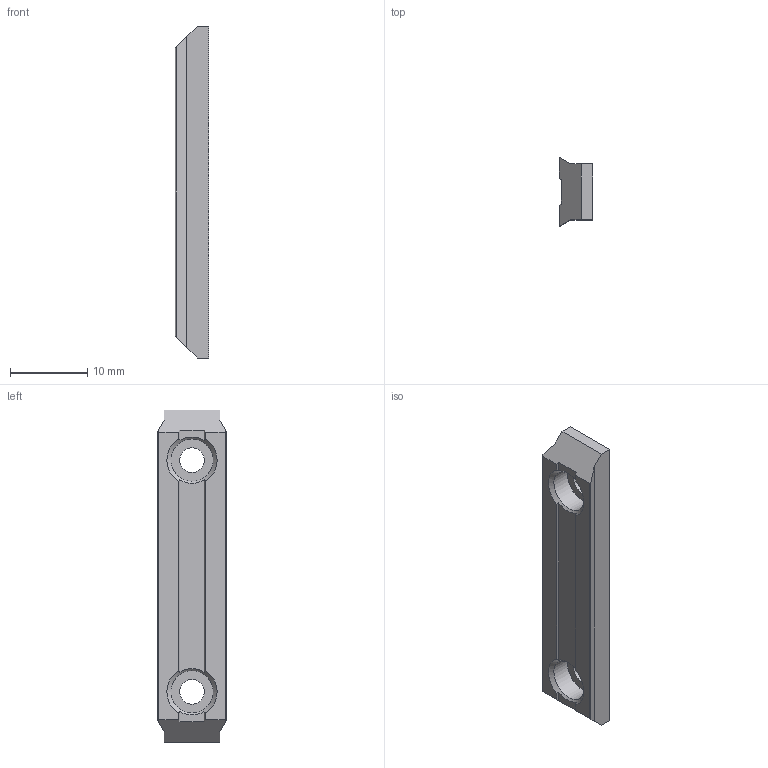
import cadquery as cq
import math

length = 43.0
thickness = 4.35
body_width = 7.22
end_chamfer = 2.85

overall_width = 8.81
flank_angle = math.radians(30)
tip_radius = 0.1
corner_angle = math.pi / 2 - flank_angle
tip_trim = tip_radius / math.tan(corner_angle / 2) - tip_radius
sharp_half_width = overall_width / 2 + tip_trim
flank_depth = (sharp_half_width - body_width / 2) / math.tan(flank_angle)

groove_depth = 0.25
groove_mouth_width = 3.5
groove_floor_width = 3.2

hole_spacing = 30.0
hole_diameter = 3.2
counterbore_diameter = 5.5
counterbore_depth = 3.0
mouth_diameter = 6.5
mouth_depth = (mouth_diameter - counterbore_diameter) / 2


def make_bar():
    """Dovetail bar with rounded tips, centred on Y and Z."""
    outline = [
        (0, -sharp_half_width),
        (flank_depth, -body_width / 2),
        (thickness, -body_width / 2),
        (thickness, body_width / 2),
        (flank_depth, body_width / 2),
        (0, sharp_half_width),
    ]
    bar = cq.Workplane("XY").polyline(outline).close().extrude(length / 2, both=True)
    return bar.edges("|Z and <X").fillet(tip_radius)


def make_end_cut(side):
    """Wedge that bevels the wide face at the upper (+1) or lower (-1) end."""
    end = side * length / 2
    wedge = [(0, end), (end_chamfer, end), (0, end - side * end_chamfer)]
    return cq.Workplane("XZ").polyline(wedge).close().extrude(overall_width, both=True)


def make_groove():
    """Trapezoidal channel running the whole length."""
    section = [
        (0, -groove_mouth_width / 2),
        (groove_depth, -groove_floor_width / 2),
        (groove_depth, groove_floor_width / 2),
        (0, groove_mouth_width / 2),
    ]
    return cq.Workplane("XY").polyline(section).close().extrude(length / 2, both=True)


def make_screw_hole(height):
    """Through hole, counterbore and conical mouth, turned about an axis along X."""
    profile = [
        (0, 0),
        (0, mouth_diameter / 2),
        (mouth_depth, counterbore_diameter / 2),
        (counterbore_depth, counterbore_diameter / 2),
        (counterbore_depth, hole_diameter / 2),
        (thickness, hole_diameter / 2),
        (thickness, 0),
    ]
    tool = cq.Workplane("XZ").polyline(profile).close().revolve(360, (0, 0), (1, 0))
    return tool.translate((0, 0, height))


result = make_bar().cut(make_groove())
for side in (1, -1):
    result = result.cut(make_end_cut(side))
    result = result.cut(make_screw_hole(side * hole_spacing / 2))